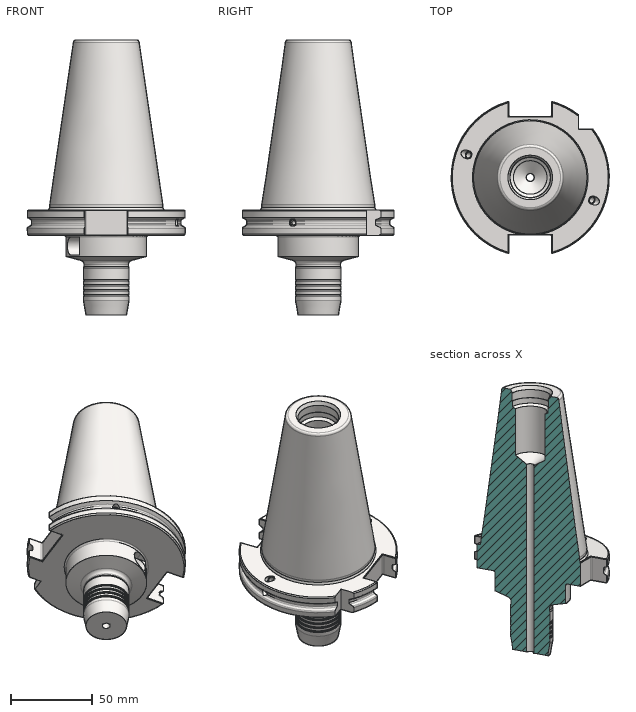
import cadquery as cq
import math

TOTAL_HEIGHT = 169.6
GAUGE_Z = 68.0
COLLAR_Z = 66.3
FLANGE_TOP_Z = 64.8
FLANGE_BOTTOM_Z = 49.0
BODY_BOTTOM_Z = 36.1

GAUGE_RADIUS = 35.0
TAPER_SLOPE = 7 / 48
TAPER_EDGE_RADIUS = 1.7
COLLAR_FOOT_RADIUS = 35.6

FLANGE_DIAMETER = 97.5
FLANGE_RADIUS = FLANGE_DIAMETER / 2
FLANGE_TOP_CHAMFER = 0.7
FLANGE_BOTTOM_CHAMFER = 0.8
GROOVE_Z = 57.0
GROOVE_FLOOR_RADIUS = 46.1
GROOVE_FLOOR_HALF_WIDTH = 1.61
GROOVE_FLANK_ANGLE = 30
GROOVE_CORNER_RADIUS = 1.1

SLOT_WIDTH = 26.5
SLOT_CORNER_RADIUS = 0.8
SLOT_EDGE_CHAMFER = 0.42
BACK_SLOT_Y = 37.7
FRONT_SLOT_Y = -35.5
NOTCH_X = 29.8
NOTCH_Y = 29.8

BODY_RADIUS = 25.0
BODY_FOOT_FILLET = 1.0
BODY_CONE_ANGLE = 15

NOSE_RADIUS = 14.0
NECK_RADIUS = 13.7
NECK_SHOULDER_Z = 29.0
NECK_BOTTOM_Z = 30.0
NECK_FILLET = 2.7
NOSE_TIP_RADIUS = 12.5
NOSE_TAPER_Z = 8.8
RING_GROOVE_DEPTH = 0.42
RING_GROOVE_WIDTH = 1.0
RING_GROOVE_TOP_Z = 21.9
RING_GROOVE_PITCH = 3.0
RING_GROOVE_COUNT = 4

MOUTH_RADIUS = 13.7
MOUTH_DEPTH = 2.4
COUNTERBORE_RADIUS = 12.5
COUNTERBORE_DEPTH = 7.6
RELIEF_RADIUS = 12.4
RELIEF_DEPTH = 11.2
THREAD_RADIUS = 10.3
THREAD_DEPTH = 42.4
DRILL_TIP_ANGLE = 118
COOLANT_RADIUS = 2.4

PORT_ANGLES = (-20, 160)
PORT_DISTANCE = 41.9
PORT_MOUTH_RADIUS = 2.5
PORT_RADIUS = 1.9
PORT_TILT = 40
PORT_MOUTH_DEPTH = 2.2
PORT_DEPTH = 11.9
LINK_MOUTH_RADIUS = 2.2
LINK_MOUTH_DEPTH = 2.0
LINK_RADIUS = 1.4
LINK_INNER_RADIUS = 36.5

POCKET_RADIUS = 5.6
POCKET_Y = -12.7
POCKET_Z = 42.5
POCKET_FLOOR_X = -16.6
POCKET_TIP_ANGLE = 90

CUT_CLEARANCE = 1.7


def revolved_body():
    flank = math.tan(math.radians(GROOVE_FLANK_ANGLE))
    groove_mouth = GROOVE_FLOOR_HALF_WIDTH + (FLANGE_RADIUS - GROOVE_FLOOR_RADIUS) * flank
    cone = math.radians(BODY_CONE_ANGLE)
    neck_corner_z = BODY_BOTTOM_Z - (BODY_RADIUS - NECK_RADIUS) * math.tan(cone)
    fillet_run = NECK_FILLET * math.tan((math.pi / 2 - cone) / 2)
    fillet_end = (
        NECK_RADIUS + fillet_run * math.cos(cone),
        neck_corner_z + fillet_run * math.sin(cone),
    )
    groove_floor_zone = cq.selectors.BoxSelector(
        (-FLANGE_RADIUS, -FLANGE_RADIUS, GROOVE_Z - groove_mouth),
        (FLANGE_RADIUS, FLANGE_RADIUS, GROOVE_Z + groove_mouth),
    )
    top_radius = GAUGE_RADIUS - (TOTAL_HEIGHT - GAUGE_Z) * TAPER_SLOPE
    return (
        cq.Workplane("XZ")
        .moveTo(0, 0)
        .lineTo(NOSE_TIP_RADIUS, 0)
        .lineTo(NOSE_RADIUS, NOSE_TAPER_Z)
        .lineTo(NOSE_RADIUS, NECK_SHOULDER_Z)
        .lineTo(NECK_RADIUS, NECK_BOTTOM_Z)
        .lineTo(NECK_RADIUS, neck_corner_z - fillet_run)
        .tangentArcPoint(fillet_end, relative=False)
        .lineTo(BODY_RADIUS, BODY_BOTTOM_Z)
        .lineTo(BODY_RADIUS, FLANGE_BOTTOM_Z - BODY_FOOT_FILLET)
        .tangentArcPoint((BODY_RADIUS + BODY_FOOT_FILLET, FLANGE_BOTTOM_Z), relative=False)
        .lineTo(FLANGE_RADIUS - FLANGE_BOTTOM_CHAMFER, FLANGE_BOTTOM_Z)
        .lineTo(FLANGE_RADIUS, FLANGE_BOTTOM_Z + FLANGE_BOTTOM_CHAMFER)
        .lineTo(FLANGE_RADIUS, GROOVE_Z - groove_mouth)
        .lineTo(GROOVE_FLOOR_RADIUS, GROOVE_Z - GROOVE_FLOOR_HALF_WIDTH)
        .lineTo(GROOVE_FLOOR_RADIUS, GROOVE_Z + GROOVE_FLOOR_HALF_WIDTH)
        .lineTo(FLANGE_RADIUS, GROOVE_Z + groove_mouth)
        .lineTo(FLANGE_RADIUS, FLANGE_TOP_Z - FLANGE_TOP_CHAMFER)
        .lineTo(FLANGE_RADIUS - FLANGE_TOP_CHAMFER, FLANGE_TOP_Z)
        .lineTo(COLLAR_FOOT_RADIUS, FLANGE_TOP_Z)
        .lineTo(GAUGE_RADIUS, COLLAR_Z)
        .lineTo(GAUGE_RADIUS, GAUGE_Z)
        .lineTo(top_radius, TOTAL_HEIGHT)
        .lineTo(0, TOTAL_HEIGHT)
        .close()
        .revolve(360, (0, 0), (0, 1))
        .faces(">Z").edges().fillet(TAPER_EDGE_RADIUS)
        .edges(groove_floor_zone)
        .edges("%CIRCLE").fillet(GROOVE_CORNER_RADIUS)
    )


def ring_grooves():
    grooves = cq.Workplane("XY")
    for index in range(RING_GROOVE_COUNT):
        top = RING_GROOVE_TOP_Z - index * RING_GROOVE_PITCH
        ring = (
            cq.Workplane("XY", origin=(0, 0, top - RING_GROOVE_WIDTH))
            .circle(NOSE_RADIUS + CUT_CLEARANCE)
            .circle(NOSE_RADIUS - RING_GROOVE_DEPTH)
            .extrude(RING_GROOVE_WIDTH)
        )
        grooves = grooves.add(ring)
    return grooves.combine()


def drive_slot(floor_y):
    """Slot towards +Y with rounded floor corners and all its outer edges broken."""
    half = SLOT_WIDTH / 2
    rim_y = math.sqrt(FLANGE_RADIUS**2 - half**2)
    flare_y = rim_y - SLOT_EDGE_CHAMFER
    flare_length = FLANGE_RADIUS + CUT_CLEARANCE - flare_y
    height = FLANGE_TOP_Z - FLANGE_BOTTOM_Z
    slot = (
        cq.Workplane("XY", origin=(0, 0, FLANGE_BOTTOM_Z))
        .moveTo(-half, floor_y)
        .lineTo(half, floor_y)
        .lineTo(half, flare_y)
        .lineTo(half + flare_length, flare_y + flare_length)
        .lineTo(-half - flare_length, flare_y + flare_length)
        .lineTo(-half, flare_y)
        .close()
        .extrude(height)
    )
    slot = slot.edges("|Z").edges("<Y").fillet(SLOT_CORNER_RADIUS)
    return slot.union(slot_rim(floor_y, FLANGE_BOTTOM_Z, 1)).union(slot_rim(floor_y, FLANGE_TOP_Z, -1))


def slot_rim(floor_y, z, direction):
    """Flared rim that chamfers the slot edges on one flange face."""
    grown = SLOT_EDGE_CHAMFER
    length = FLANGE_RADIUS + CUT_CLEARANCE - floor_y + grown
    return (
        cq.Workplane("XY", origin=(0, floor_y - grown + length / 2, z))
        .rect(SLOT_WIDTH + 2 * grown, length)
        .extrude(direction * grown, taper=45)
    )


def corner_notch():
    return cq.Workplane("XY", origin=(NOTCH_X, NOTCH_Y, FLANGE_BOTTOM_Z)).box(
        FLANGE_RADIUS, FLANGE_RADIUS, FLANGE_TOP_Z - FLANGE_BOTTOM_Z, centered=False
    )


def cone_height(radius_change, tip_angle):
    return radius_change / math.tan(math.radians(tip_angle / 2))


def axial_bore():
    thread_end = TOTAL_HEIGHT - THREAD_DEPTH
    relief_end = TOTAL_HEIGHT - RELIEF_DEPTH
    counterbore_end = TOTAL_HEIGHT - COUNTERBORE_DEPTH
    return (
        cq.Workplane("XZ")
        .moveTo(0, 0)
        .lineTo(COOLANT_RADIUS, 0)
        .lineTo(COOLANT_RADIUS, thread_end - cone_height(THREAD_RADIUS - COOLANT_RADIUS, DRILL_TIP_ANGLE))
        .lineTo(THREAD_RADIUS, thread_end)
        .lineTo(THREAD_RADIUS, relief_end - cone_height(RELIEF_RADIUS - THREAD_RADIUS, DRILL_TIP_ANGLE))
        .lineTo(RELIEF_RADIUS, relief_end)
        .lineTo(RELIEF_RADIUS, counterbore_end)
        .lineTo(COUNTERBORE_RADIUS, counterbore_end)
        .lineTo(COUNTERBORE_RADIUS, TOTAL_HEIGHT - MOUTH_DEPTH)
        .lineTo(MOUTH_RADIUS, TOTAL_HEIGHT)
        .lineTo(0, TOTAL_HEIGHT)
        .close()
        .revolve(360, (0, 0), (0, 1))
    )


def radial_hole(radius, inner_end):
    """Hole along +X at the groove height, from inner_end out to the flange rim."""
    start = cq.Vector(inner_end, 0, GROOVE_Z)
    return cq.Solid.makeCylinder(radius, FLANGE_RADIUS - inner_end, start, cq.Vector(1, 0, 0))


def coolant_port(angle):
    """Port modelled on the +X side and turned about the tool axis by the given angle."""
    tilt = math.radians(PORT_TILT)
    inward = cq.Vector(-math.sin(tilt), 0, -math.cos(tilt))
    entry = cq.Vector(PORT_DISTANCE, 0, FLANGE_TOP_Z)
    lead = 2 * PORT_MOUTH_RADIUS
    mouth = cq.Solid.makeCylinder(PORT_MOUTH_RADIUS, PORT_MOUTH_DEPTH + lead, entry - inward * lead, inward)
    slanted = cq.Solid.makeCylinder(PORT_RADIUS, PORT_DEPTH, entry, inward)
    link = radial_hole(LINK_RADIUS, LINK_INNER_RADIUS)
    link_mouth = radial_hole(LINK_MOUTH_RADIUS, GROOVE_FLOOR_RADIUS - LINK_MOUTH_DEPTH)
    return cq.Workplane(mouth.fuse(slanted, link, link_mouth)).rotate((0, 0, 0), (0, 0, 1), angle)


def side_pocket():
    depth = BODY_RADIUS + POCKET_FLOOR_X
    round_end = (
        cq.Workplane("YZ", origin=(-BODY_RADIUS, POCKET_Y, POCKET_Z))
        .circle(POCKET_RADIUS)
        .extrude(depth)
    )
    open_side = (
        cq.Workplane("YZ", origin=(-BODY_RADIUS, POCKET_Y - BODY_RADIUS / 2, POCKET_Z))
        .rect(BODY_RADIUS, 2 * POCKET_RADIUS)
        .extrude(depth)
    )
    tip = cq.Solid.makeCone(
        POCKET_RADIUS,
        0,
        cone_height(POCKET_RADIUS, POCKET_TIP_ANGLE),
        cq.Vector(POCKET_FLOOR_X, POCKET_Y, POCKET_Z),
        cq.Vector(1, 0, 0),
    )
    return round_end.union(open_side).union(cq.Workplane(tip))


result = revolved_body().cut(ring_grooves()).cut(axial_bore())
result = result.cut(drive_slot(BACK_SLOT_Y))
result = result.cut(drive_slot(-FRONT_SLOT_Y).rotate((0, 0, 0), (0, 0, 1), 180))
result = result.cut(corner_notch())
for port_angle in PORT_ANGLES:
    result = result.cut(coolant_port(port_angle))
result = result.cut(side_pocket())